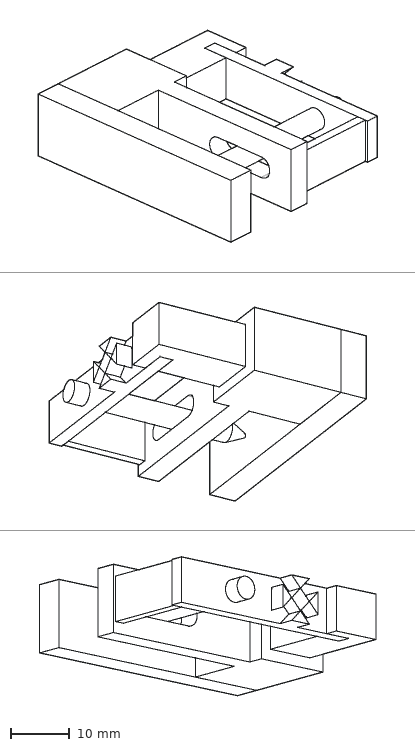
import cadquery as cq

length = 45.0
thickness = 12.0
slim_thickness = 8.0

plate_depth = 5.0
block_width = 14.0
block_depth = 17.0
block_back = plate_depth + block_depth
arm_front = 15.0
arm_depth = 4.0
arm_back = arm_front + arm_depth

column_left = 3.0
column_width = 9.0
column_depth = 17.0
column_back = block_back + column_depth

bar_left = 7.0
bar_front = 34.0
bar_depth = 2.5
bar_back = bar_front + bar_depth

knob_x = 20.6
knob_depth = 3.0
knob_back = bar_back + knob_depth
tooth_reach = slim_thickness / 2
tooth_half_width = tooth_reach / 2
peg_half_diagonal = tooth_reach - tooth_half_width

pin_x = 33.0
pin_diameter = 4.0
pin_tip_diameter = 0.75
pin_tip_length = 3.5
slot_length = 14.0

spacer_left = 42.75
spacer_width = 1.75


def box_between(left, right, front, back, height):
    """Box over the given X and Y ranges, centred on Z = 0."""
    return cq.Workplane("XY").box(right - left, back - front, height).translate(
        ((left + right) / 2, (front + back) / 2, 0)
    )


def across(x, y):
    """Workplane facing +Y at the given place, with local X reversed."""
    return cq.Workplane(cq.Plane(origin=(x, y, 0), xDir=(-1, 0, 0), normal=(0, 1, 0)))


def make_base_plate():
    """Plain plate along the whole length."""
    return box_between(0, length, 0, plate_depth, thickness)


def make_block():
    """Main block with a guide arm, slotted for the scriber pin."""
    block = box_between(0, block_width, plate_depth, block_back, thickness)
    arm = box_between(block_width, length, arm_front, arm_back, thickness)
    slot = across(pin_x, arm_front).slot2D(slot_length, pin_diameter).extrude(arm_depth)
    return block.union(arm).cut(slot)


def make_column():
    """Column with a slot through its thickness that holds the crossbar end."""
    column_right = column_left + column_width
    column = box_between(column_left, column_right, block_back, column_back, slim_thickness)
    return column.cut(box_between(bar_left, column_right, bar_front, bar_back, slim_thickness))


def make_tooth(turn):
    """Triangular knob tooth, widest at its outer face, turned about the knob axis in degrees."""
    outline = [(0, peg_half_diagonal), (tooth_half_width, tooth_reach), (-tooth_half_width, tooth_reach)]
    tooth = across(0, bar_back).polyline(outline).close().extrude(knob_depth)
    return tooth.rotate((0, 0, 0), (0, 1, 0), turn).translate((knob_x, 0, 0))


def make_crossbar():
    """Crossbar with a hole for the pin and four knob teeth on its back."""
    crossbar = box_between(bar_left, length, bar_front, bar_back, slim_thickness)
    crossbar = crossbar.cut(across(pin_x, bar_front).circle(pin_diameter / 2).extrude(bar_depth))
    for turn in (0, 90, 180, 270):
        crossbar = crossbar.union(make_tooth(turn))
    return crossbar


def make_peg():
    """Square peg at the middle of the knob, its corners meeting the tips of the teeth."""
    return across(knob_x, bar_back).polygon(4, 2 * peg_half_diagonal).extrude(knob_depth)


def make_pin():
    """Scriber pin whose tapered tip meets the base plate."""
    taper_start = plate_depth + pin_tip_length
    outline = [
        (0, plate_depth),
        (pin_tip_diameter / 2, plate_depth),
        (pin_diameter / 2, taper_start),
        (pin_diameter / 2, knob_back),
        (0, knob_back),
    ]
    pin = cq.Workplane("XY").polyline(outline).close().revolve(360, (0, 0), (0, 1))
    return pin.translate((pin_x, 0, 0))


def make_spacer():
    """Strip that holds the crossbar and the arm apart near their free ends."""
    return box_between(spacer_left, spacer_left + spacer_width, arm_back, bar_front, slim_thickness)


base_plate = make_base_plate()
block = make_block()
column = make_column()
crossbar = make_crossbar()
peg = make_peg()
pin = make_pin()
spacer = make_spacer()

result = cq.Compound.makeCompound(
    [body.val() for body in (base_plate, block, column, crossbar, peg, pin, spacer)]
)